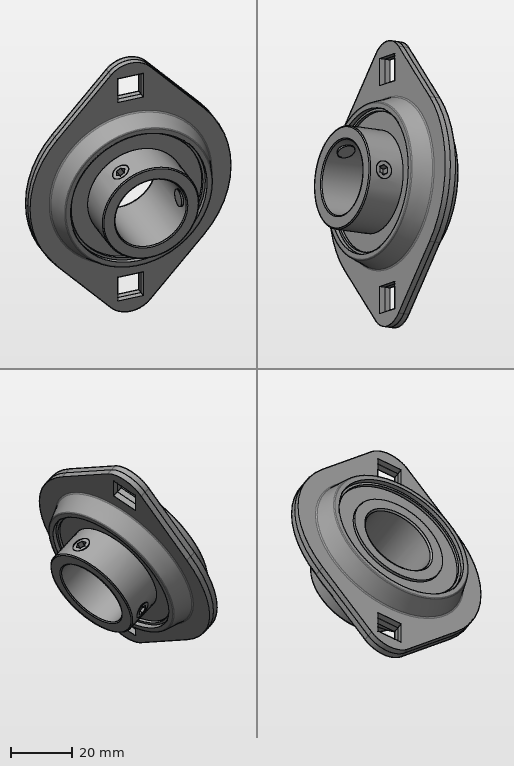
import cadquery as cq
import math


flange_half_thickness = 2.0
flange_width = 70.8
flange_half_width = flange_width / 2
flange_length = 95.0
tip_radius = 9.5
bolt_offset = flange_length / 2 - tip_radius
bolt_hole_side = 9.0

boss_face = 9.0
boss_root_radius = 28.3
boss_rim_radius = 25.9
boss_root_fillet = 0.5
boss_rim_fillet = 0.4
seat_radius = 24.0

bearing_half_width = 7.5
outer_ring_inner_radius = 23.2
seal_recess = 0.95
inner_ring_radius = 17.0
collar_end = 19.5
bore_radius = 12.5
collar_chamfer = 0.4
bore_chamfer = 0.6

screw_position = 14.0
screw_radius = 2.9
screw_length = 5.2
screw_outer_end = inner_ring_radius
screw_inner_end = screw_outer_end - screw_length
socket_across_flats = 2.9
socket_depth = 3.0
screw_angles = (0, 120)


def flange_outline():
    """Round centre and two round tips joined by tangent lines, drawn in the YZ plane."""
    tangent_angle = math.asin((flange_half_width - tip_radius) / bolt_offset)
    cos_t = math.cos(tangent_angle)
    sin_t = math.sin(tangent_angle)
    side_y = flange_half_width * cos_t
    side_z = flange_half_width * sin_t
    tip_y = tip_radius * cos_t
    tip_z = bolt_offset + tip_radius * sin_t
    return (
        cq.Workplane("YZ")
        .moveTo(side_y, -side_z)
        .threePointArc((flange_half_width, 0), (side_y, side_z))
        .lineTo(tip_y, tip_z)
        .threePointArc((0, flange_length / 2), (-tip_y, tip_z))
        .lineTo(-side_y, side_z)
        .threePointArc((-flange_half_width, 0), (-side_y, -side_z))
        .lineTo(-tip_y, -tip_z)
        .threePointArc((0, -flange_length / 2), (tip_y, -tip_z))
        .close()
    )


def make_flange_half():
    """Half on the +X side: plate, conical boss, bearing seat and square bolt holes."""
    plate = flange_outline().extrude(flange_half_thickness)
    boss = (
        cq.Workplane("XY")
        .polyline([
            (0, 0),
            (0, boss_root_radius),
            (flange_half_thickness, boss_root_radius),
            (boss_face, boss_rim_radius),
            (boss_face, 0),
        ])
        .close()
        .revolve(360, (0, 0, 0), (1, 0, 0))
        .edges(">X")
        .fillet(boss_rim_fillet)
    )
    half = plate.union(boss)
    plate_face = half.faces("|X").faces(">X[-2]")
    half = plate_face.edges(cq.selectors.RadiusNthSelector(1)).fillet(boss_root_fillet)
    seat = cq.Workplane("YZ").circle(seat_radius).extrude(boss_face)
    bolt_holes = (
        cq.Workplane("YZ")
        .pushPoints([(0, bolt_offset), (0, -bolt_offset)])
        .rect(bolt_hole_side, bolt_hole_side)
        .extrude(flange_half_thickness)
    )
    return half.cut(seat).cut(bolt_holes)


def place_on_collar(shape, angle):
    """Turn a shape built along +Y around the bore axis."""
    return shape.rotate((0, 0, 0), (1, 0, 0), angle)


def screw_cylinder(start, length):
    """Cylinder of the screw diameter along +Y, starting at a distance from the bore axis."""
    return (
        cq.Workplane("XZ", origin=(screw_position, start, 0))
        .circle(screw_radius)
        .extrude(-length)
    )


def make_bearing():
    """Bearing rings, a recessed seal on each side and long collar, with bore and set-screw holes."""
    seal_face = bearing_half_width - seal_recess
    bearing = (
        cq.Workplane("XY")
        .polyline([
            (-bearing_half_width, bore_radius),
            (-bearing_half_width, inner_ring_radius),
            (-seal_face, inner_ring_radius),
            (-seal_face, outer_ring_inner_radius),
            (-bearing_half_width, outer_ring_inner_radius),
            (-bearing_half_width, seat_radius),
            (bearing_half_width, seat_radius),
            (bearing_half_width, outer_ring_inner_radius),
            (seal_face, outer_ring_inner_radius),
            (seal_face, inner_ring_radius),
            (collar_end, inner_ring_radius),
            (collar_end, bore_radius),
        ])
        .close()
        .revolve(360, (0, 0, 0), (1, 0, 0))
        .faces(">X")
        .edges()
        .chamfer(collar_chamfer)
    )
    bore_edge = cq.selectors.RadiusNthSelector(0)
    bearing = bearing.faces("<X").edges(bore_edge).chamfer(bore_chamfer)
    for angle in screw_angles:
        hole = screw_cylinder(0, 2 * inner_ring_radius)
        bearing = bearing.cut(place_on_collar(hole, angle))
    return bearing


def make_set_screw(angle):
    """Headless screw with a hexagon socket in its outer end."""
    socket_diameter = socket_across_flats / math.cos(math.pi / 6)
    socket = (
        cq.Workplane("XZ", origin=(screw_position, screw_outer_end, 0))
        .transformed(rotate=(0, 0, 90))
        .polygon(6, socket_diameter)
        .extrude(socket_depth)
    )
    screw = screw_cylinder(screw_inner_end, screw_length).cut(socket)
    return place_on_collar(screw, angle)


back_flange = make_flange_half()
front_flange = back_flange.mirror("YZ")
bearing = make_bearing()
set_screws = [make_set_screw(angle).val() for angle in screw_angles]

result = cq.Compound.makeCompound([
    front_flange.val(),
    back_flange.val(),
    bearing.val(),
    *set_screws,
])